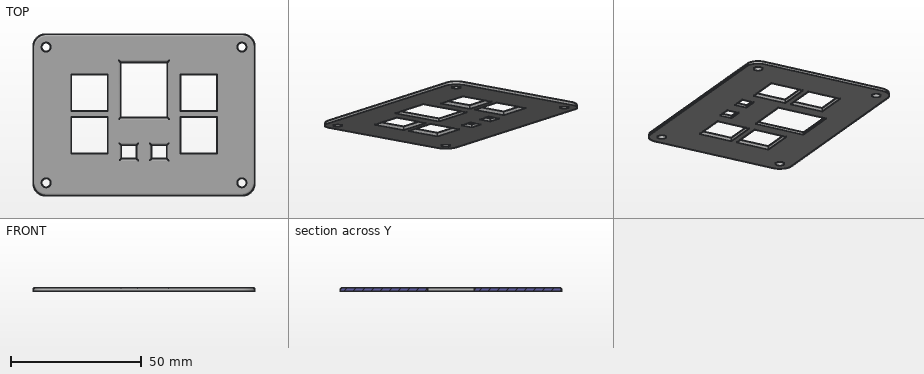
import cadquery as cq

length = 85.0
width = 62.0
thickness = 1.5
corner_radius = 5.0
rounding = 1.0

screw_hole_diameter = 3.4
screw_spacing_x = length - 2 * corner_radius
screw_spacing_y = width - 2 * corner_radius

key_size = 13.9
key_column_xs = (-20.9, 21.0)
key_row_ys = (8.5, -7.8)

display_length = 17.75
display_width = 21.0
display_y = 9.6

button_length = 5.7
button_width = 5.0
button_x = 5.8
button_y = -14.15

selection_margin = 0.1


def make_plate():
    """Plate with rounded corners and a rounded top rim."""
    plate = cq.Workplane("XY").box(length, width, thickness, centered=(True, True, False))
    plate = plate.edges("|Z").fillet(corner_radius)
    return plate.faces(">Z").edges().fillet(rounding)


def cut_opening(plate, x, y, size_x, size_y):
    """Cut a straight rectangular opening through the plate."""
    block = cq.Workplane("XY").box(size_x, size_y, thickness, centered=(True, True, False))
    return plate.cut(block.translate((x, y, 0)))


def cut_rounded_window(plate, x, y, size_x, size_y):
    """Cut a rectangular opening and round its edges at the top face."""
    plate = cut_opening(plate, x, y, size_x, size_y)
    reach_x = size_x / 2 + selection_margin
    reach_y = size_y / 2 + selection_margin
    rim = cq.selectors.BoxSelector(
        (x - reach_x, y - reach_y, thickness - selection_margin),
        (x + reach_x, y + reach_y, thickness + selection_margin),
    )
    return plate.edges(rim).fillet(rounding)


def cut_screw_holes(plate):
    holes = (
        cq.Workplane("XY")
        .rect(screw_spacing_x, screw_spacing_y, forConstruction=True)
        .vertices()
        .circle(screw_hole_diameter / 2)
        .extrude(thickness)
    )
    return plate.cut(holes)


def cut_key_openings(plate):
    for column_x in key_column_xs:
        for row_y in key_row_ys:
            plate = cut_opening(plate, column_x, row_y, key_size, key_size)
    return plate


def cut_windows(plate):
    plate = cut_rounded_window(plate, 0, display_y, display_length, display_width)
    for side in (-1, 1):
        plate = cut_rounded_window(plate, side * button_x, button_y, button_length, button_width)
    return plate


result = make_plate()
result = cut_screw_holes(result)
result = cut_key_openings(result)
result = cut_windows(result)